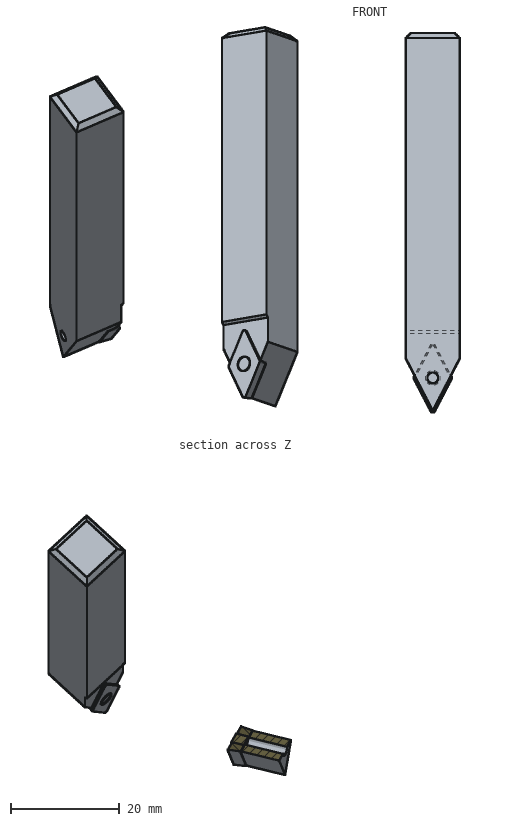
import cadquery as cq
import math


shank_size = 10.0
overall_length = 70.0
end_chamfer = 1.0
shoulder_height = 10.0

relief_depth = 0.5
relief_top = 15.1

tip_angle = 55.0
inscribed_diameter = 6.35
insert_thickness = 2.38
clearance_angle = 7.0
nose_radius = 0.4

screw_diameter = 2.7
screw_stand_out = 0.14
rear_hole_diameter = 2.0

half_size = shank_size / 2
half_angle = math.radians(tip_angle / 2)
half_length = inscribed_diameter / 2 / math.sin(half_angle)
half_width = inscribed_diameter / 2 / math.cos(half_angle)
nose_setback = nose_radius / math.sin(half_angle) - nose_radius
insert_center = half_length - nose_setback
holder_apex = shoulder_height - half_size / math.tan(half_angle)

rake_face = half_size
seat_face = rake_face - insert_thickness
relief_face = rake_face - relief_depth


def y_cylinder(diameter, y_start, y_end):
    """Cylinder on the insert axis, running along Y."""
    plane = cq.Workplane("XZ", origin=(0, y_start, insert_center))
    return plane.circle(diameter / 2).extrude(y_start - y_end)


def make_insert_blank():
    """Rhombus with rounded corners, narrowing from the rake face down to the seat."""
    corners = [
        (0, -half_length),
        (half_width, 0),
        (0, half_length),
        (-half_width, 0),
        (0, -half_length),
    ]
    outline = cq.Sketch().polygon(corners).vertices().fillet(nose_radius)
    plane = cq.Workplane("XZ", origin=(0, rake_face, insert_center))
    return plane.placeSketch(outline).extrude(insert_thickness, taper=clearance_angle)


def make_shank():
    """Square bar with a chamfered upper end and a pointed lower end."""
    bar = (
        cq.Workplane("XZ", origin=(0, half_size, 0))
        .moveTo(0, holder_apex)
        .lineTo(half_size, shoulder_height)
        .lineTo(half_size, overall_length)
        .lineTo(-half_size, overall_length)
        .lineTo(-half_size, shoulder_height)
        .close()
        .extrude(shank_size)
    )
    return bar.faces(">Z").edges().chamfer(end_chamfer)


def make_relief_cutter():
    """Shallow step across the full width of the rake side, ending in a 45 degree slope."""
    return (
        cq.Workplane("YZ", origin=(-half_size, 0, 0))
        .moveTo(rake_face, 0)
        .lineTo(rake_face, relief_top)
        .lineTo(relief_face, relief_top - relief_depth)
        .lineTo(relief_face, 0)
        .close()
        .extrude(shank_size)
    )


def make_holder():
    """Shank with the insert seat, the clamping screw and the blind rear hole."""
    screw = y_cylinder(screw_diameter, seat_face, rake_face + screw_stand_out)
    rear_hole = y_cylinder(rear_hole_diameter, -half_size, seat_face)
    body = make_shank().cut(make_relief_cutter()).cut(make_insert_blank())
    return body.union(screw).cut(rear_hole)


def make_insert():
    """Insert with a plain hole that the clamping screw fills."""
    screw_hole = y_cylinder(screw_diameter, seat_face, rake_face)
    return make_insert_blank().cut(screw_hole)


holder = make_holder()
insert = make_insert()

result = cq.Compound.makeCompound([holder.solids().val(), insert.solids().val()])